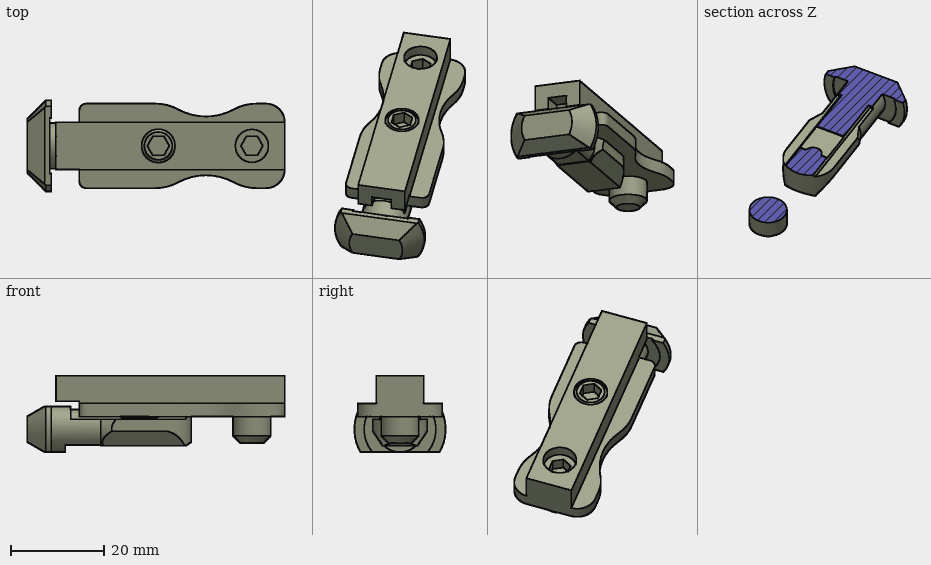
import cadquery as cq
import math

LENGTH = 55.2
HEIGHT = 16.4

AXIS_Z = 4.9
HEAD_DIAMETER = 19.6
HEAD_RADIUS = HEAD_DIAMETER / 2
HEAD_FACE_RADIUS = 5.8
HEAD_LENGTH = 5.2
HEAD_CONE_LENGTH = HEAD_RADIUS - HEAD_FACE_RADIUS
HEAD_FACE_HALF_HEIGHT = 2.75
HEAD_SLOPE_LENGTH = 3.75
RELIEF_RADIUS = 7.7
RELIEF_DEPTH = 0.35
SHAFT_RADIUS = AXIS_Z
NECK_BOTTOM_END = 8.15
SHAFT_BOTTOM = 1.5

FLARE_START = 15.75
FLARE_SLOPE = 0.4
BODY_END = 35.15
BODY_HALF_WIDTH = 5.85
BODY_BOTTOM = 1.3
BODY_SIDE_BOTTOM = 4.5
BEVEL_WIDTH = 2.15
END_BEVEL_LENGTH = 1.2
END_BEVEL_HEIGHT = 0.85

RIDGE_START = 9.35
LEDGE_Z = 7.0
RIDGE_FOOT_HALF_WIDTH = 3.7
RIDGE_SHOULDER_HALF_WIDTH = 2.5
RIDGE_RADIUS = 4.25
NOTCH_FLOOR_Z = 7.4
NOTCH_START = 20.4
NOTCH_END = 27.75
NOTCH_FLARE = 2.0

BAR_START = 6.2
BAR_WIDTH = 10.2
BAR_HEIGHT = 5.5
GROOVE_WIDTH = 4.2
GROOVE_DEPTH = 2.5
PLATE_START = 11.15
PLATE_WIDTH = 18.15
PLATE_HALF_WIDTH = PLATE_WIDTH / 2
PLATE_BOTTOM = 7.6
PLATE_THICKNESS = 2.8
PLATE_FRONT_RADIUS = 1.55
PLATE_REAR_RADIUS = 4.1
WAIST_X = 38.3
WAIST_HALF_LENGTH = 10.8
WAIST_DEPTH = 2.75
WAIST_HOLLOW_HALF_LENGTH = 6.0

HEX_ACROSS_FLATS = 4.1
HEX_DEPTH = 2.75
SET_SCREW_X = 28.1
SET_SCREW_RADIUS = 3.6
SET_SCREW_CHAMFER = 0.6
SET_SCREW_TIP_RADIUS = 2.1
PIN_X = 48.15
PIN_HOLE_RADIUS = 3.55
PIN_HOLE_DEPTH = 2.5
PIN_DIAMETER = 8.1
PIN_BOTTOM = 1.95
PIN_CHAMFER = 1.55

CLEARANCE = 0.55


def box(x_range, y_range, z_range):
    """Box given by its low and high limits along each axis."""
    sizes = [high - low for low, high in (x_range, y_range, z_range)]
    corner = (x_range[0], y_range[0], z_range[0])
    return cq.Workplane("XY").box(*sizes, centered=False).translate(corner)


def disc(x, z, radius, height):
    """Upright cylinder standing at height z over the centre line."""
    return cq.Workplane("XY", origin=(x, 0, z)).circle(radius).extrude(height)


def turned(points):
    """Solid of revolution about the bolt axis from (x, radius) points."""
    profile = cq.Workplane("XY").polyline(points).close()
    return profile.revolve(360, (0, 0, 0), (1, 0, 0)).translate((0, 0, AXIS_Z))


def head():
    back_of_relief = HEAD_LENGTH - RELIEF_DEPTH
    blank = turned([
        (0, 0),
        (0, HEAD_FACE_RADIUS),
        (HEAD_CONE_LENGTH, HEAD_RADIUS),
        (HEAD_LENGTH, HEAD_RADIUS),
        (HEAD_LENGTH, RELIEF_RADIUS),
        (back_of_relief, RELIEF_RADIUS),
        (back_of_relief, 0),
    ])
    side_outline = [
        (0, AXIS_Z - HEAD_FACE_HALF_HEIGHT),
        (HEAD_SLOPE_LENGTH, 0),
        (HEAD_LENGTH, 0),
        (HEAD_LENGTH, 2 * AXIS_Z),
        (HEAD_SLOPE_LENGTH, 2 * AXIS_Z),
        (0, AXIS_Z + HEAD_FACE_HALF_HEIGHT),
    ]
    flats = cq.Workplane("XZ").polyline(side_outline).close().extrude(HEAD_RADIUS + CLEARANCE, both=True)
    return blank.intersect(flats)


def shaft():
    start = HEAD_LENGTH - RELIEF_DEPTH - CLEARANCE
    end = FLARE_START + CLEARANCE
    round_shaft = turned([(start, 0), (start, SHAFT_RADIUS), (end, SHAFT_RADIUS), (end, 0)])
    side = (-SHAFT_RADIUS, SHAFT_RADIUS)
    return round_shaft.cut(box((NECK_BOTTOM_END, end), side, (-CLEARANCE, SHAFT_BOTTOM)))


def body():
    top = 2 * AXIS_Z
    round_center = BODY_END - BODY_HALF_WIDTH
    bottom_half_width = BODY_HALF_WIDTH - BEVEL_WIDTH
    plan = (
        cq.Workplane("XY", origin=(0, 0, BODY_BOTTOM))
        .moveTo(FLARE_START, -BODY_HALF_WIDTH)
        .lineTo(round_center, -BODY_HALF_WIDTH)
        .threePointArc((BODY_END, 0), (round_center, BODY_HALF_WIDTH))
        .lineTo(FLARE_START, BODY_HALF_WIDTH)
        .close()
        .extrude(top - BODY_BOTTOM)
    )
    section = [
        (-bottom_half_width, BODY_BOTTOM),
        (bottom_half_width, BODY_BOTTOM),
        (BODY_HALF_WIDTH, BODY_SIDE_BOTTOM),
        (BODY_HALF_WIDTH, top),
        (-BODY_HALF_WIDTH, top),
        (-BODY_HALF_WIDTH, BODY_SIDE_BOTTOM),
    ]
    bevelled = cq.Workplane("YZ").polyline(section).close().extrude(LENGTH)
    flare_end_radius = SHAFT_RADIUS + FLARE_SLOPE * (BODY_END - FLARE_START)
    flare = turned([
        (FLARE_START, 0),
        (FLARE_START, SHAFT_RADIUS),
        (BODY_END, flare_end_radius),
        (BODY_END, 0),
    ])
    end_bevel = (
        cq.Workplane("XZ")
        .moveTo(BODY_END - END_BEVEL_LENGTH, BODY_BOTTOM)
        .lineTo(BODY_END, BODY_BOTTOM + END_BEVEL_HEIGHT)
        .lineTo(BODY_END, BODY_BOTTOM)
        .close()
        .extrude(BODY_HALF_WIDTH, both=True)
    )
    return plan.intersect(bevelled).intersect(flare).cut(end_bevel)


def above_ridge():
    """Space over the ledges and the ridge on top of the bolt."""
    side = BODY_HALF_WIDTH + CLEARANCE
    ceiling = 2 * AXIS_Z + CLEARANCE
    shoulder_z = AXIS_Z + math.sqrt(RIDGE_RADIUS**2 - RIDGE_SHOULDER_HALF_WIDTH**2)
    return (
        cq.Workplane("YZ", origin=(RIDGE_START, 0, 0))
        .moveTo(-side, LEDGE_Z)
        .lineTo(-RIDGE_FOOT_HALF_WIDTH, LEDGE_Z)
        .lineTo(-RIDGE_SHOULDER_HALF_WIDTH, shoulder_z)
        .threePointArc((0, AXIS_Z + RIDGE_RADIUS), (RIDGE_SHOULDER_HALF_WIDTH, shoulder_z))
        .lineTo(RIDGE_FOOT_HALF_WIDTH, LEDGE_Z)
        .lineTo(side, LEDGE_Z)
        .lineTo(side, ceiling)
        .lineTo(-side, ceiling)
        .close()
        .extrude(LENGTH)
    )


def ridge_notch():
    """Crosswise notch in the ridge below the set screw, open up to the wing plate."""
    flare = NOTCH_FLARE * (PLATE_BOTTOM - NOTCH_FLOOR_Z)
    outline = [
        (NOTCH_START, NOTCH_FLOOR_Z),
        (NOTCH_END, NOTCH_FLOOR_Z),
        (NOTCH_END + flare, PLATE_BOTTOM),
        (NOTCH_START - flare, PLATE_BOTTOM),
    ]
    return cq.Workplane("XZ").polyline(outline).close().extrude(BODY_HALF_WIDTH, both=True)


def bolt():
    return head().union(shaft()).union(body()).cut(above_ridge()).cut(ridge_notch())


def waist_cutter(side):
    """Hollow arc in one long edge of the plate, tangent to a rounded shoulder arc at each end."""
    edge = side * PLATE_HALF_WIDTH
    angle = 2 * math.atan(WAIST_DEPTH / WAIST_HALF_LENGTH)
    shoulder_length = WAIST_HALF_LENGTH - WAIST_HOLLOW_HALF_LENGTH
    shoulder_radius = shoulder_length / math.sin(angle)
    join_depth = shoulder_radius * (1 - math.cos(angle))
    middle_offset = WAIST_HALF_LENGTH - shoulder_radius * math.sin(angle / 2)
    middle_depth = shoulder_radius * (1 - math.cos(angle / 2))

    def point(offset, depth):
        return (WAIST_X + offset, edge - side * depth)

    outside = -CLEARANCE
    return (
        cq.Workplane("XY", origin=(0, 0, PLATE_BOTTOM))
        .moveTo(*point(-WAIST_HALF_LENGTH, 0))
        .threePointArc(point(-middle_offset, middle_depth), point(-WAIST_HOLLOW_HALF_LENGTH, join_depth))
        .threePointArc(point(0, WAIST_DEPTH), point(WAIST_HOLLOW_HALF_LENGTH, join_depth))
        .threePointArc(point(middle_offset, middle_depth), point(WAIST_HALF_LENGTH, 0))
        .lineTo(*point(WAIST_HALF_LENGTH, outside))
        .lineTo(*point(-WAIST_HALF_LENGTH, outside))
        .close()
        .extrude(PLATE_THICKNESS)
    )


def wing_plate():
    y_range = (-PLATE_HALF_WIDTH, PLATE_HALF_WIDTH)
    z_range = (PLATE_BOTTOM, PLATE_BOTTOM + PLATE_THICKNESS)
    plate = box((PLATE_START, LENGTH), y_range, z_range)
    plate = plate.edges("|Z and <X").fillet(PLATE_FRONT_RADIUS)
    plate = plate.edges("|Z and >X").fillet(PLATE_REAR_RADIUS)
    for side in (-1, 1):
        plate = plate.cut(waist_cutter(side))
    return plate


def clamp_bar():
    y_range = (-BAR_WIDTH / 2, BAR_WIDTH / 2)
    bottom = HEIGHT - BAR_HEIGHT
    bar = box((BAR_START, LENGTH), y_range, (bottom, HEIGHT))
    seat = box((PLATE_START, LENGTH), y_range, (PLATE_BOTTOM + PLATE_THICKNESS, bottom))
    groove = box(
        (BAR_START, PLATE_START),
        (-GROOVE_WIDTH / 2, GROOVE_WIDTH / 2),
        (bottom, bottom + GROOVE_DEPTH),
    )
    return bar.union(seat).cut(groove)


def hex_socket(x, top):
    corner_diameter = HEX_ACROSS_FLATS / math.cos(math.pi / 6)
    return cq.Workplane("XY", origin=(x, 0, top)).polygon(6, corner_diameter).extrude(-HEX_DEPTH)


def set_screw_groove():
    """Ring left around the chamfered top of the set screw."""
    section = [
        (SET_SCREW_RADIUS, HEIGHT - SET_SCREW_CHAMFER),
        (SET_SCREW_RADIUS, HEIGHT),
        (SET_SCREW_RADIUS - SET_SCREW_CHAMFER, HEIGHT),
    ]
    profile = cq.Workplane("XZ").polyline(section).close()
    return profile.revolve(360, (0, 0, 0), (0, 1, 0)).translate((SET_SCREW_X, 0, 0))


def set_screw_tip():
    """End of the set screw, tapering from the plate down into the notch."""
    depth = PLATE_BOTTOM - NOTCH_FLOOR_Z
    return (
        cq.Workplane("XY", origin=(SET_SCREW_X, 0, PLATE_BOTTOM))
        .circle(SET_SCREW_TIP_RADIUS)
        .workplane(offset=-depth)
        .circle(SET_SCREW_TIP_RADIUS - depth)
        .loft()
    )


def pin():
    height = PLATE_BOTTOM - PIN_BOTTOM
    blank = disc(PIN_X, PIN_BOTTOM, PIN_DIAMETER / 2, height)
    return blank.faces("<Z").chamfer(PIN_CHAMFER)


pin_hole_floor = HEIGHT - PIN_HOLE_DEPTH

result = clamp_bar().union(wing_plate()).union(bolt()).union(set_screw_tip()).union(pin())
result = result.cut(set_screw_groove()).cut(hex_socket(SET_SCREW_X, HEIGHT))
result = result.cut(disc(PIN_X, pin_hole_floor, PIN_HOLE_RADIUS, PIN_HOLE_DEPTH))
result = result.cut(hex_socket(PIN_X, pin_hole_floor))